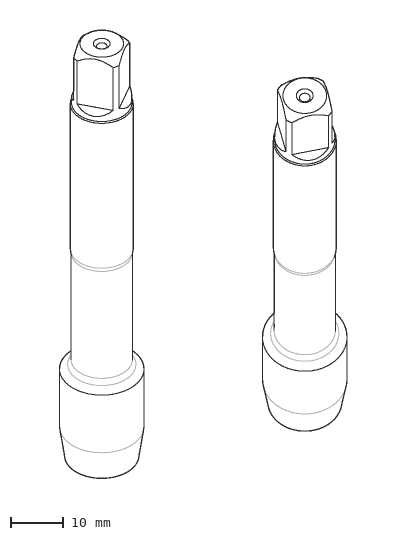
import cadquery as cq
import math

TOTAL_LENGTH = 100.0

HEAD_RADIUS = 16.1 / 2
TIP_RADIUS = 7.1
LEAD_LENGTH = 7.0
HEAD_LENGTH = 21.0

SHOULDER_SLOPE = 35.0
NECK_FILLET = 1.5

NECK_RADIUS = 11.7 / 2
SHANK_RADIUS = 12.0 / 2
NECK_END = 49.3
SHANK_START = 50.2
SHANK_END = 85.4

DRIVE_RADIUS = 11.5 / 2
DRIVE_WIDTH = 9.0
DRIVE_FLAT_START = 88.0
DRIVE_RUNOUT_ANGLE = 45.0
DRIVE_CHAMFER = 1.6
CUTTER_CLEARANCE = 1.0

HOLE_RADIUS = 2.0 / 2
HOLE_MOUTH_RADIUS = 3.2 / 2
HOLE_DEPTH = 4.0
HOLE_POINT_ANGLE = 120.0


def revolve_profile(profile):
    """Turn a closed (radius, height) outline about the Z axis."""
    return profile.close().revolve(360, (0, 0, 0), (0, 1, 0))


def make_head():
    """Threaded head, simplified to its envelope, with a tapered lead."""
    return revolve_profile(
        cq.Workplane("XZ")
        .lineTo(TIP_RADIUS, 0)
        .lineTo(HEAD_RADIUS, LEAD_LENGTH)
        .lineTo(HEAD_RADIUS, HEAD_LENGTH)
        .lineTo(0, HEAD_LENGTH)
    )


def make_shank_blank():
    """Turned shank with shoulder, neck and chamfered drive end."""
    slope = math.radians(SHOULDER_SLOPE)
    cone_top_radius = NECK_RADIUS + NECK_FILLET * (1 - math.sin(slope))
    cone_top = HEAD_LENGTH + (HEAD_RADIUS - cone_top_radius) * math.tan(slope)
    fillet_top = cone_top + NECK_FILLET * math.cos(slope)
    half_turn = (math.pi / 2 - slope) / 2
    fillet_mid_radius = NECK_RADIUS + NECK_FILLET * (1 - math.cos(half_turn))
    fillet_mid = fillet_top - NECK_FILLET * math.sin(half_turn)
    drive_start = SHANK_END + SHANK_RADIUS - DRIVE_RADIUS
    return revolve_profile(
        cq.Workplane("XZ")
        .moveTo(0, HEAD_LENGTH)
        .lineTo(HEAD_RADIUS, HEAD_LENGTH)
        .lineTo(cone_top_radius, cone_top)
        .threePointArc((fillet_mid_radius, fillet_mid), (NECK_RADIUS, fillet_top))
        .lineTo(NECK_RADIUS, NECK_END)
        .lineTo(SHANK_RADIUS, SHANK_START)
        .lineTo(SHANK_RADIUS, SHANK_END)
        .lineTo(DRIVE_RADIUS, drive_start)
        .lineTo(DRIVE_RADIUS, TOTAL_LENGTH - DRIVE_CHAMFER)
        .lineTo(DRIVE_RADIUS - DRIVE_CHAMFER, TOTAL_LENGTH)
        .lineTo(0, TOTAL_LENGTH)
    )


def make_flat_cutter():
    """Cutter for the +X drive flat, with a sloping run-out at its lower end."""
    inner = DRIVE_WIDTH / 2
    outer = SHANK_RADIUS + CUTTER_CLEARANCE
    runout_drop = (outer - inner) * math.tan(math.radians(DRIVE_RUNOUT_ANGLE))
    return (
        cq.Workplane("XZ")
        .moveTo(inner, DRIVE_FLAT_START)
        .lineTo(outer, DRIVE_FLAT_START - runout_drop)
        .lineTo(outer, TOTAL_LENGTH)
        .lineTo(inner, TOTAL_LENGTH)
        .close()
        .extrude(SHANK_RADIUS, both=True)
    )


def make_centre_hole():
    """Countersunk blind hole with a 45 degree mouth and a drilled point."""
    mouth_depth = HOLE_MOUTH_RADIUS - HOLE_RADIUS
    point_depth = HOLE_RADIUS / math.tan(math.radians(HOLE_POINT_ANGLE / 2))
    hole_bottom = TOTAL_LENGTH - HOLE_DEPTH
    return revolve_profile(
        cq.Workplane("XZ")
        .moveTo(0, TOTAL_LENGTH)
        .lineTo(HOLE_MOUTH_RADIUS, TOTAL_LENGTH)
        .lineTo(HOLE_RADIUS, TOTAL_LENGTH - mouth_depth)
        .lineTo(HOLE_RADIUS, hole_bottom)
        .lineTo(0, hole_bottom - point_depth)
    )


def make_shank():
    """Shank with the four drive flats and the centre hole cut in."""
    shank = make_shank_blank()
    flat_cutter = make_flat_cutter()
    for angle in (0, 90, 180, 270):
        shank = shank.cut(flat_cutter.rotate((0, 0, 0), (0, 0, 1), angle))
    return shank.cut(make_centre_hole())


head = make_head()
shank = make_shank()
result = cq.Compound.makeCompound([head.val(), shank.val()])